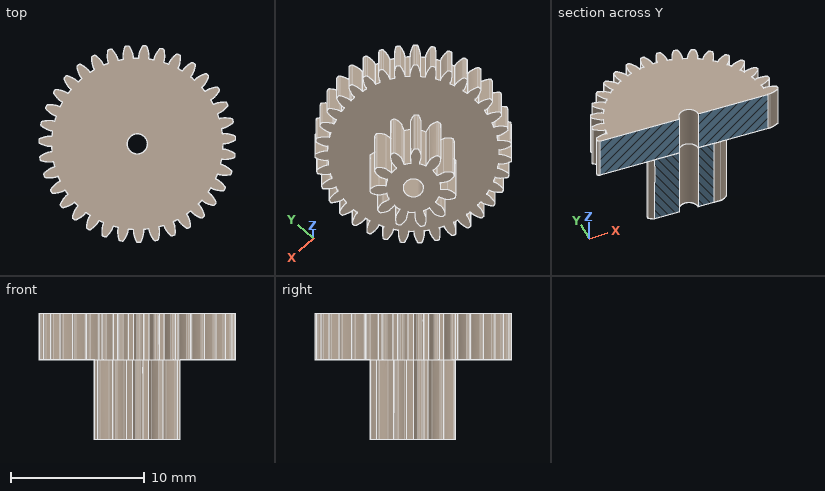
import cadquery as cq
import math

PRESSURE_ANGLE = math.radians(20)
ADDENDUM_FACTOR = 1.0
DEDENDUM_FACTOR = 1.4
FLANK_POINTS = 7

bore_diameter = 1.5
tip_fillet = 0.125

wheel_module = 0.4
wheel_teeth = 35
wheel_height = 3.5
wheel_tooth_direction = 3.43

pinion_module = 0.5
pinion_teeth = 11
pinion_height = 6.0
pinion_tooth_direction = 9.0


def polar(radius, angle):
    """Point in the XY plane at a radius and an angle in radians."""
    return radius * math.cos(angle), radius * math.sin(angle)


def involute(angle):
    """Involute function of a pressure angle."""
    return math.tan(angle) - angle


def gear(module, teeth, height, tooth_direction):
    """Bored spur gear with involute flanks, standing on the XY plane."""
    pitch_radius = module * teeth / 2
    base_radius = pitch_radius * math.cos(PRESSURE_ANGLE)
    tip_radius = pitch_radius + ADDENDUM_FACTOR * module
    root_radius = pitch_radius - DEDENDUM_FACTOR * module
    tooth_pitch = 2 * math.pi / teeth
    base_half_angle = tooth_pitch / 4 + involute(PRESSURE_ANGLE)

    def half_angle(radius):
        return base_half_angle - involute(math.acos(base_radius / radius))

    radius_step = (tip_radius - base_radius) / (FLANK_POINTS - 1)
    flank_radii = [base_radius + i * radius_step for i in range(FLANK_POINTS - 1)] + [tip_radius]

    first_middle = math.radians(tooth_direction)
    outline = cq.Workplane("XY").moveTo(*polar(root_radius, first_middle - base_half_angle))
    for i in range(teeth):
        middle = first_middle + i * tooth_pitch
        next_middle = middle + tooth_pitch
        rising_flank = [polar(r, middle - half_angle(r)) for r in flank_radii]
        falling_flank = [polar(r, middle + half_angle(r)) for r in reversed(flank_radii)]
        outline = outline.lineTo(*rising_flank[0])
        outline = outline.spline(rising_flank[1:], includeCurrent=True)
        outline = outline.threePointArc(polar(tip_radius, middle), falling_flank[0])
        outline = outline.spline(falling_flank[1:], includeCurrent=True)
        outline = outline.lineTo(*polar(root_radius, middle + base_half_angle))
        outline = outline.threePointArc(
            polar(root_radius, middle + tooth_pitch / 2),
            polar(root_radius, next_middle - base_half_angle),
        )
    blank = outline.close().extrude(height)

    def on_crest(edge):
        center = edge.Center()
        return math.hypot(center.x, center.y) > (pitch_radius + tip_radius) / 2

    crest_edges = [edge for edge in blank.edges("|Z").vals() if on_crest(edge)]
    toothed = blank.newObject(crest_edges).fillet(tip_fillet)

    bore = cq.Workplane("XY").circle(bore_diameter / 2).extrude(height)
    return toothed.cut(bore)


pinion = gear(pinion_module, pinion_teeth, pinion_height, pinion_tooth_direction)

wheel = gear(wheel_module, wheel_teeth, wheel_height, wheel_tooth_direction)
wheel = wheel.translate((0, 0, pinion_height))

result = cq.Compound.makeCompound([wheel.val(), pinion.val()])